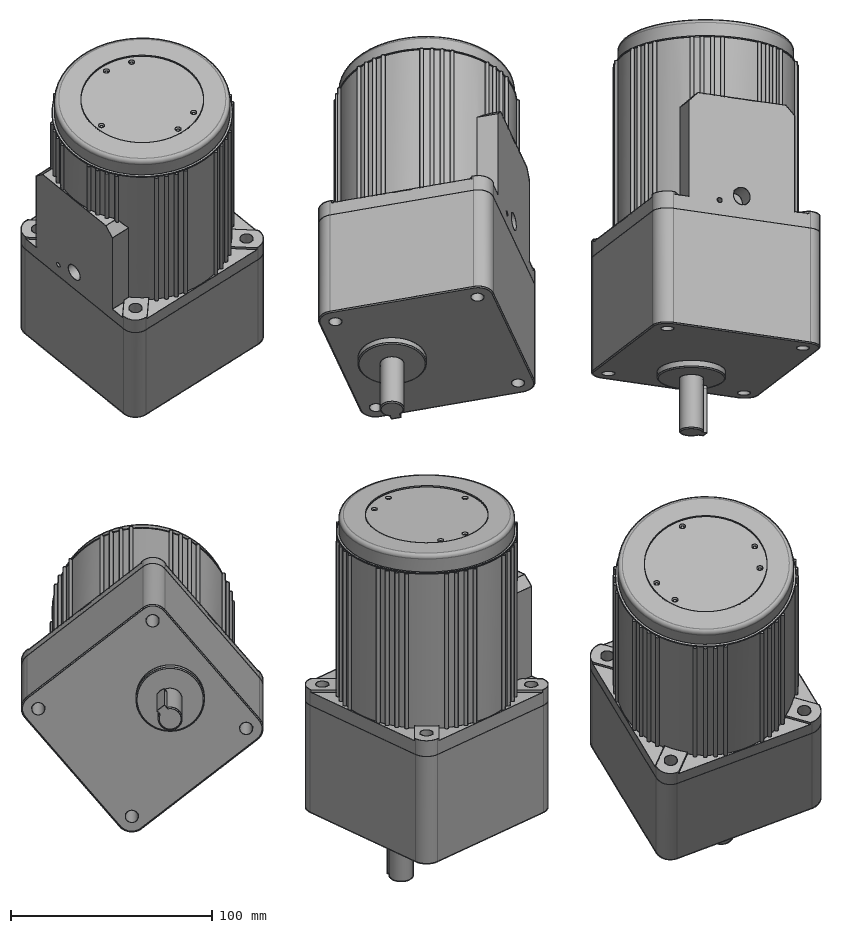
import cadquery as cq
import math

total_height = 197.0
flange_side = 90.0
corner_radius = 7.9
bolt_spacing = 73.5
bolt_diameter = 6.5

gearbox_bottom = 32.0
seam_z = 92.5
gearbox_edge_chamfer = 0.5
boss_diameter = 34.0
boss_height = 3.5
boss_edge_chamfer = 0.5
shaft_diameter = 12.0
shaft_offset_y = 18.0
shaft_end_chamfer = 0.5
key_width = 5.0
key_reach = 7.5
key_top = 25.6

flange_top = 100.0
pad_height = 1.4
pad_width = 12.2
barrel_radius = 44.7
barrel_top = 187.5
rim_diameter = 89.8
rim_thickness = 0.5
cap_diameter = 87.5
cap_edge_fillet = 2.2

rib_groups = 8
ribs_per_group = 4
rib_pitch_angle = 6.5
rib_width = 2.0
rib_height = 1.4

recess_diameter = 61.0
recess_depth = 0.8
cap_hole_angles = (0, 30, 150, 180, 270)
cap_hole_circle_radius = 27.0
cap_hole_diameter = 3.0
cap_hole_floor_diameter = 1.5
cap_hole_depth = 0.8

box_width = 57.5
box_top = 155.5
box_corner_chamfer = 5.0
cable_hole_diameter = 9.0
cable_hole_z = 104.2
cable_hole_depth = 9.8
screw_hole_diameter = 2.5
screw_hole_x = -12.0
screw_hole_z = 100.5
screw_hole_depth = 4.0

half_side = flange_side / 2
rim_bottom = barrel_top - rim_thickness
boss_bottom = gearbox_bottom - boss_height


def cylinder(diameter, bottom, top, x=0, y=0):
    """Upright cylinder between two heights."""
    return cq.Workplane("XY", origin=(x, y, bottom)).circle(diameter / 2).extrude(top - bottom)


def square_block(bottom, top):
    """Square block with rounded vertical corners."""
    block = cq.Workplane("XY", origin=(0, 0, bottom)).rect(flange_side, flange_side).extrude(top - bottom)
    return block.edges("|Z").fillet(corner_radius)


def bolt_holes():
    """Four cylinders that pass through the corners of both bodies."""
    holes = cq.Workplane("XY").rect(bolt_spacing, bolt_spacing, forConstruction=True).vertices()
    return holes.circle(bolt_diameter / 2).extrude(total_height)


def front_hole(diameter, x, z, depth):
    """Cylinder that enters the -Y face of the terminal box."""
    return cq.Workplane("XZ", origin=(x, -half_side, z)).circle(diameter / 2).extrude(-depth)


def make_key():
    """Key along the +X side of the shaft, round at its upper end."""
    half_width = key_width / 2
    return (
        cq.Workplane("YZ", origin=(0, shaft_offset_y, 0))
        .moveTo(-half_width, 0)
        .lineTo(half_width, 0)
        .lineTo(half_width, key_top - half_width)
        .threePointArc((0, key_top), (-half_width, key_top - half_width))
        .close()
        .extrude(key_reach)
    )


def make_gearbox():
    """Gearbox block with its off-centre boss, output shaft and key."""
    block = square_block(gearbox_bottom, seam_z).faces("<Z").edges().chamfer(gearbox_edge_chamfer)
    boss = cylinder(boss_diameter, boss_bottom, gearbox_bottom, y=shaft_offset_y)
    boss = boss.faces("<Z").edges().chamfer(boss_edge_chamfer)
    shaft = cylinder(shaft_diameter, 0, boss_bottom, y=shaft_offset_y)
    shaft = shaft.faces("<Z").edges().chamfer(shaft_end_chamfer)
    return block.union(boss).union(shaft).union(make_key()).cut(bolt_holes())


def make_flange():
    """Motor flange with a raised diagonal pad at each corner."""
    flange = square_block(seam_z, flange_top + pad_height)
    pads = cq.Workplane("XY", origin=(0, 0, flange_top))
    pads = pads.rect(2 * flange_side, pad_width).extrude(pad_height)
    pads = pads.union(pads.rotate((0, 0, 0), (0, 0, 1), 90)).rotate((0, 0, 0), (0, 0, 1), 45)
    lowered = cq.Workplane("XY", origin=(0, 0, flange_top)).rect(flange_side, flange_side).extrude(pad_height)
    return flange.cut(lowered.cut(pads))


def make_rib(angle):
    """One round-crested rib along the barrel at the given angle about Z."""
    half_width = rib_width / 2
    crest_radius = barrel_radius + rib_height
    flank_end = crest_radius - half_width
    root = barrel_radius - rib_height
    rib = (
        cq.Workplane("XY", origin=(0, 0, seam_z))
        .moveTo(root, -half_width)
        .lineTo(flank_end, -half_width)
        .threePointArc((crest_radius, 0), (flank_end, half_width))
        .lineTo(root, half_width)
        .close()
        .extrude(rim_bottom - seam_z)
    )
    return rib.rotate((0, 0, 0), (0, 0, 1), angle)


def make_ribs():
    """All cooling ribs, trimmed to the square outline of the flange."""
    ribs = cq.Workplane("XY")
    for group in range(rib_groups):
        group_angle = (group + 0.5) * 360 / rib_groups
        for index in range(ribs_per_group):
            offset = (index - (ribs_per_group - 1) / 2) * rib_pitch_angle
            ribs = ribs.add(make_rib(group_angle + offset))
    return ribs.combine().intersect(square_block(seam_z, barrel_top))


def make_terminal_box():
    """Box that fills the space between the barrel and the -Y side of the flange."""
    box = cq.Workplane("XY", origin=(0, -half_side / 2, seam_z))
    box = box.rect(box_width, half_side).extrude(box_top - seam_z)
    return box.faces(">Z").edges("|Y").chamfer(box_corner_chamfer)


def make_cap():
    """End cap with a shallow round recess and small tapered holes in the recess floor."""
    recess_floor = total_height - recess_depth
    cap = cylinder(cap_diameter, seam_z, total_height).faces(">Z").edges().fillet(cap_edge_fillet)
    cap = cap.cut(cylinder(recess_diameter, recess_floor, total_height))
    for angle in cap_hole_angles:
        x = cap_hole_circle_radius * math.cos(math.radians(angle))
        y = cap_hole_circle_radius * math.sin(math.radians(angle))
        hole = cq.Solid.makeCone(
            cap_hole_floor_diameter / 2,
            cap_hole_diameter / 2,
            cap_hole_depth,
            pnt=cq.Vector(x, y, recess_floor - cap_hole_depth),
        )
        cap = cap.cut(cq.Workplane(hole))
    return cap


def make_motor():
    """Motor: flange, ribbed barrel with a thin rim, end cap and terminal box."""
    barrel = cylinder(2 * barrel_radius, seam_z, rim_bottom)
    rim = cylinder(rim_diameter, rim_bottom, barrel_top)
    motor = make_flange().union(barrel).union(rim).union(make_ribs())
    motor = motor.union(make_cap()).union(make_terminal_box())
    motor = motor.cut(front_hole(cable_hole_diameter, 0, cable_hole_z, cable_hole_depth))
    motor = motor.cut(front_hole(screw_hole_diameter, screw_hole_x, screw_hole_z, screw_hole_depth))
    return motor.cut(bolt_holes())


gearbox = make_gearbox()
motor = make_motor()
result = cq.Compound.makeCompound([gearbox.solids().val(), motor.solids().val()])